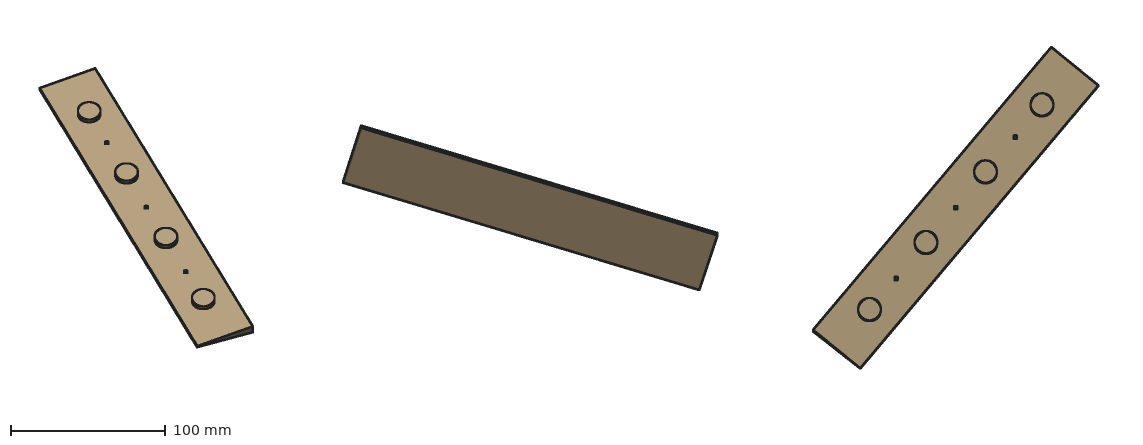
import cadquery as cq

length = 241.5
width = 39.5
total_height = 9.5
disc_height = 3.0
back_thickness = total_height - disc_height
front_thickness = 1.7
end_fillet = 0.7

disc_diameter = 14.7
inner_disc_offset = 30.2
outer_disc_offset = 87.5
hole_diameter = 2.5
hole_depth = 2.0
hole_spacing = 60.5

disc_centres = [
    (-outer_disc_offset, 0),
    (-inner_disc_offset, 0),
    (inner_disc_offset, 0),
    (outer_disc_offset, 0),
]
hole_centres = [(step * hole_spacing, 0) for step in (-1, 0, 1)]


def make_wedge():
    """Wedge profile in YZ with its top face at Z = 0, extruded along X, with rounded sloping end edges."""
    front_y = -width / 2
    back_y = width / 2
    wedge = (
        cq.Workplane("YZ")
        .polyline([
            (front_y, 0),
            (back_y, 0),
            (back_y, -back_thickness),
            (front_y, -front_thickness),
        ])
        .close()
        .extrude(length / 2, both=True)
    )
    return wedge.faces("|X").edges("not (|Y or |Z)").fillet(end_fillet)


def make_discs():
    """Discs standing on the top face."""
    return cq.Workplane("XY").pushPoints(disc_centres).circle(disc_diameter / 2).extrude(disc_height)


def make_holes():
    """Cutters for the blind holes in the top face."""
    return (
        cq.Workplane("XY")
        .pushPoints(hole_centres)
        .circle(hole_diameter / 2)
        .extrude(-hole_depth)
    )


result = make_wedge().union(make_discs()).cut(make_holes())